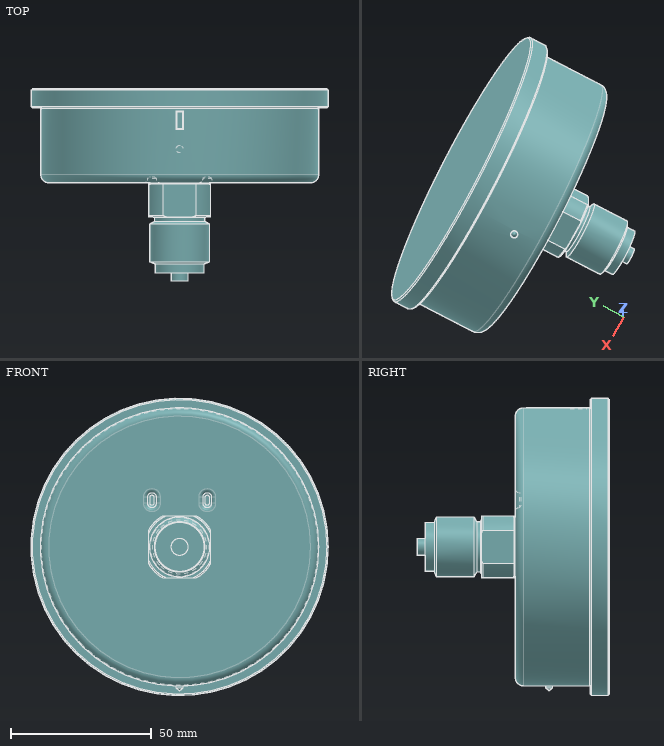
import cadquery as cq
import math

bezel_diameter = 105.8
bezel_end = 6.9
bezel_chamfer = 0.5
joint_diameter = 98.4
joint_width = 0.2

case_diameter = 99.0
case_end = 33.5
case_round = 3.0

neck_diameter = 21.0
neck_length = 0.4
wrench_flats = 22.1
wrench_corner_diameter = 25.1
wrench_end = 45.6
wrench_chamfer = 0.5

groove_diameter = 18.0
shoulder_cone_diameter = 19.3
shoulder_cone_length = 0.3
groove_end = 47.2
thread_diameter = 21.4
thread_end = 62.3
thread_cone_length = 0.7
collar_diameter = 17.5
collar_end = 65.6
tip_diameter = 6.0
tip_end = 68.5

recess_spacing = 19.7
recess_height = 16.6
recess_width = 6.0
recess_straight = 2.1
recess_middle_width = 3.2
recess_middle_depth = 1.6
recess_floor_width = 1.5
recess_floor_depth = 0.5

vent_width = 2.6
vent_start = 7.9
vent_length = 6.6
vent_depth = 0.5
vent_wall_inset = 0.3

peg_diameter = 2.5
peg_distance = 21.5
peg_tip_radius = 51.2
peg_point_height = 1.1
peg_root_depth = 2.1


def cylinder(diameter, start, end):
    """Cylinder about the Y axis between two distances from the bezel face."""
    return cq.Workplane("XZ").workplane(offset=start).circle(diameter / 2).extrude(end - start)


def make_case():
    bezel = cylinder(bezel_diameter, 0, bezel_end).edges().chamfer(bezel_chamfer)
    joint = cylinder(joint_diameter, bezel_end, bezel_end + joint_width)
    case = cylinder(case_diameter, bezel_end + joint_width, case_end)
    case = case.faces("<Y").edges().fillet(case_round)
    return bezel.union(joint).union(case)


def make_wrench_section():
    start = case_end + neck_length
    length = wrench_end - start
    square = cq.Workplane("XZ").workplane(offset=start).rect(wrench_flats, wrench_flats).extrude(length)
    corners = cylinder(wrench_corner_diameter, start, wrench_end)
    corners = corners.faces("<Y").edges().chamfer(wrench_chamfer)
    neck = cylinder(neck_diameter, case_end, start)
    return neck.union(square.intersect(corners))


def make_stem():
    groove_radius = groove_diameter / 2
    thread_radius = thread_diameter / 2
    lead_in_length = (thread_radius - groove_radius) / math.sqrt(3)
    profile = [
        (0, -wrench_end),
        (shoulder_cone_diameter / 2, -wrench_end),
        (groove_radius, -wrench_end - shoulder_cone_length),
        (groove_radius, -groove_end),
        (thread_radius, -groove_end - lead_in_length),
        (thread_radius, -thread_end + thread_cone_length),
        (groove_radius, -thread_end),
        (collar_diameter / 2, -thread_end),
        (collar_diameter / 2, -collar_end),
        (tip_diameter / 2, -collar_end),
        (tip_diameter / 2, -tip_end),
        (0, -tip_end),
    ]
    return cq.Workplane("XY").polyline(profile).close().revolve(360, (0, 0, 0), (0, 1, 0))


def slot_outline(x, distance, width):
    """Upright slot outline; its ends are half circles about the same two centers at any width."""
    plane = cq.Workplane("XZ", origin=(x, -distance, recess_height))
    return plane.slot2D(width + recess_straight, width, 90)


def round_recess_mouth(body):
    """Round the rim where each recess meets the back of the case."""
    margin = 0.1
    mouth_round = (recess_width - recess_middle_width) / 2
    for side in (-1, 1):
        x = side * recess_spacing / 2
        half_width = recess_middle_width / 2
        half_height = half_width + recess_straight / 2
        rim = cq.selectors.BoxSelector(
            (x - half_width - margin, -case_end - margin, recess_height - half_height - margin),
            (x + half_width + margin, -case_end + margin, recess_height + half_height + margin),
        )
        body = body.edges(rim).fillet(mouth_round)
    return body


def make_recess(x):
    outer = slot_outline(x, case_end, recess_middle_width).extrude(-recess_middle_depth)
    slope = math.degrees(math.atan((recess_middle_width - recess_floor_width) / 2 / recess_floor_depth))
    middle = case_end - recess_middle_depth
    inner = slot_outline(x, middle, recess_middle_width).extrude(-recess_floor_depth, taper=slope)
    return outer.union(inner)


def make_vent():
    center = (0, -vent_start - vent_length / 2, case_diameter / 2)
    slope = math.degrees(math.atan(vent_wall_inset / vent_depth))
    return cq.Workplane("XY", origin=center).rect(vent_width, vent_length).extrude(-vent_depth, taper=slope)


def make_peg():
    radius = peg_diameter / 2
    root = -case_diameter / 2 + peg_root_depth
    shoulder = -peg_tip_radius + peg_point_height
    profile = [(0, root), (radius, root), (radius, shoulder), (0, -peg_tip_radius)]
    peg = cq.Workplane("XZ").polyline(profile).close().revolve(360, (0, 0, 0), (0, 1, 0))
    return peg.translate((0, -peg_distance, 0))


result = make_case().union(make_wrench_section()).union(make_stem()).union(make_peg())
for side in (-1, 1):
    result = result.cut(make_recess(side * recess_spacing / 2))
result = round_recess_mouth(result).cut(make_vent())